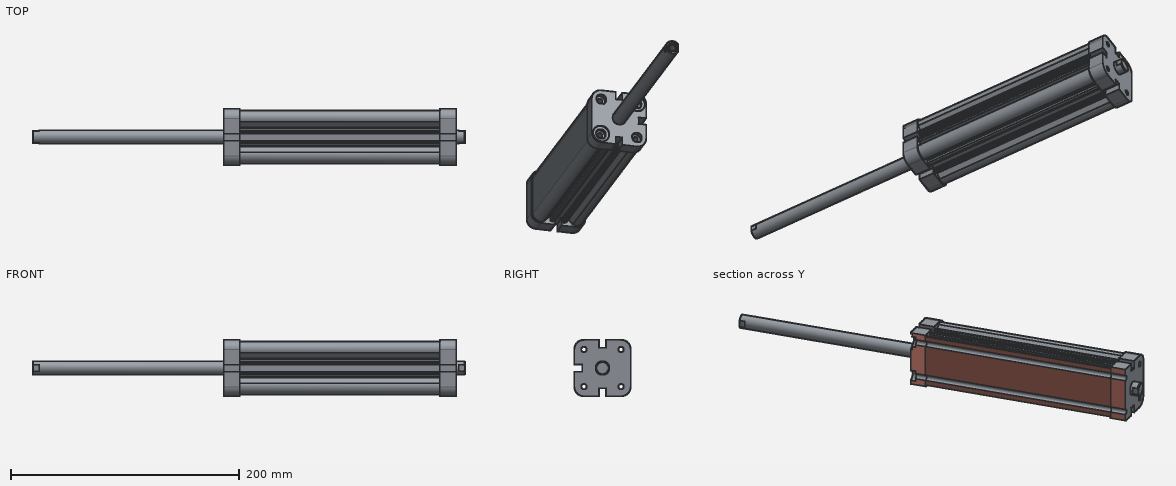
import cadquery as cq
import math

total_length = 378.5
front_cap_start = 167.0
cap_length = 14.5
rear_stub_length = 7.5
rear_cap_end = total_length - rear_stub_length
tube_start = front_cap_start + cap_length
rear_cap_start = rear_cap_end - cap_length
tube_length = rear_cap_start - tube_start

cap_width = 49.5
screw_offset = 16.3
cap_corner_radius = cap_width / 2 - screw_offset

screw_hole_radius = 2.3
counterbore_radius = 4.5
counterbore_depth = 4.5
recess_diameter = 14.8
recess_depth = 1.0

slot_width = 6.0
slot_floor = 17.8

post_radius = 7.2
flank_offset = 13.2
valley_offset = 8.7
rib_offset = 7.2
rib_edge_height = 21.5
crest_offset = 5.3
crest_height = 22.5
neck_chamfer_offset = 4.0
neck_height = 21.2
undercut_offset = 3.8
undercut_top = 20.0
flank_height = screw_offset + math.sqrt(post_radius ** 2 - (screw_offset - flank_offset) ** 2)
valley_height = flank_height - (flank_offset - valley_offset)

rod_radius = 6.0
rod_across_flats = 10.5
rod_flat_length = 5.3
rear_chamfer = rod_radius - rod_across_flats / 2
thread_radius = 3.0
thread_depth = 15.0
thread_chamfer = 1.0
drill_point_angle = 118
drill_point_depth = thread_radius / math.tan(math.radians(drill_point_angle / 2))

plain_corners = [(screw_offset, screw_offset), (-screw_offset, -screw_offset)]
recessed_corners = [(-screw_offset, screw_offset), (screw_offset, -screw_offset)]
all_corners = plain_corners + recessed_corners


def section_plane(x):
    """YZ plane at x: local x is +Y, local y is +Z, extrusion runs toward +X."""
    return cq.Workplane("YZ", origin=(x, 0, 0))


def cylinder(x, length, radius, centers):
    return section_plane(x).pushPoints(centers).circle(radius).extrude(length)


def cone(x, center, start_radius, end_radius, length):
    start = cq.Vector(x, *center)
    return cq.Workplane(cq.Solid.makeCone(start_radius, end_radius, length, start, cq.Vector(1, 0, 0)))


def cap_slots(x):
    """Straight slots in the top, the bottom and the -Y side."""
    depth = cap_width / 2 - slot_floor
    top_slot = section_plane(x).center(0, slot_floor + depth / 2).rect(slot_width, depth).extrude(cap_length)
    slots = top_slot
    for angle in (90, 180):
        slots = slots.union(top_slot.rotate((0, 0, 0), (1, 0, 0), angle))
    return slots


def cap_blank(x):
    blank = section_plane(x).rect(cap_width, cap_width).extrude(cap_length)
    blank = blank.edges("|X").fillet(cap_corner_radius)
    blank = blank.cut(cap_slots(x))
    blank = blank.cut(cylinder(x, cap_length, screw_hole_radius, all_corners))
    return blank.cut(cylinder(x, cap_length, rod_radius, [(0, 0)]))


def make_front_cap():
    """Cap with counterbored screw holes, two of them in a wide shallow recess."""
    cap = cap_blank(front_cap_start)
    cap = cap.cut(cylinder(front_cap_start, counterbore_depth, counterbore_radius, all_corners))
    return cap.cut(cylinder(front_cap_start, recess_depth, recess_diameter / 2, recessed_corners))


def make_rear_cap():
    return cap_blank(rear_cap_start)


def slotted_side(angle):
    """Outline of the top side from its -Y post to its +Y post, turned by angle about the axis."""
    half = [
        (flank_offset, flank_height),
        (valley_offset, valley_height),
        (rib_offset, valley_height),
        (rib_offset, rib_edge_height),
        (crest_offset, crest_height),
        (neck_chamfer_offset, crest_height),
        (slot_width / 2, neck_height),
        (slot_width / 2, undercut_top),
        (undercut_offset, undercut_top),
        (undercut_offset, slot_floor),
    ]
    side = [(-y, z) for y, z in half] + half[::-1]
    cos_a = math.cos(math.radians(angle))
    sin_a = math.sin(math.radians(angle))
    return [(y * cos_a - z * sin_a, y * sin_a + z * cos_a) for y, z in side]


def make_tube():
    """Extruded profile, slotted on three sides and plain on the +Y side."""
    plain_face = screw_offset + post_radius
    plain_side = [(plain_face, screw_offset), (plain_face, -screw_offset)]
    sides = [slotted_side(90), slotted_side(0), plain_side, slotted_side(180)]
    post_tip = screw_offset + post_radius * math.sqrt(0.5)
    post_tips = [(-post_tip, post_tip), (post_tip, post_tip), (post_tip, -post_tip), (-post_tip, -post_tip)]

    outline = section_plane(tube_start).moveTo(*sides[0][0])
    for i, side in enumerate(sides):
        for point in side[1:]:
            outline = outline.lineTo(*point)
        next_side = sides[(i + 1) % len(sides)]
        outline = outline.threePointArc(post_tips[i], next_side[0])

    tube = outline.close().extrude(tube_length)
    tube = tube.cut(cylinder(tube_start, tube_length, screw_hole_radius, all_corners))
    return tube.cut(cylinder(tube_start, tube_length, rod_radius, [(0, 0)]))


def make_rod():
    """Through rod with wrench flats at both ends and a threaded hole in the front end."""
    rod = cylinder(0, total_length, rod_radius, [(0, 0)])
    rod = rod.faces(">X").chamfer(rear_chamfer)
    for x in (0, total_length - rod_flat_length):
        end = section_plane(x).rect(2 * rod_radius, 2 * rod_radius).extrude(rod_flat_length)
        keep = section_plane(x).rect(rod_across_flats, 2 * rod_radius).extrude(rod_flat_length)
        rod = rod.cut(end.cut(keep))
    rod = rod.cut(cylinder(0, thread_depth, thread_radius, [(0, 0)]))
    rod = rod.cut(cone(0, (0, 0), thread_radius + thread_chamfer, thread_radius, thread_chamfer))
    return rod.cut(cone(thread_depth, (0, 0), thread_radius, 0, drill_point_depth))


front_cap = make_front_cap()
rear_cap = make_rear_cap()
tube = make_tube()
rod = make_rod()
result = cq.Compound.makeCompound([front_cap.val(), rear_cap.val(), tube.val(), rod.val()])